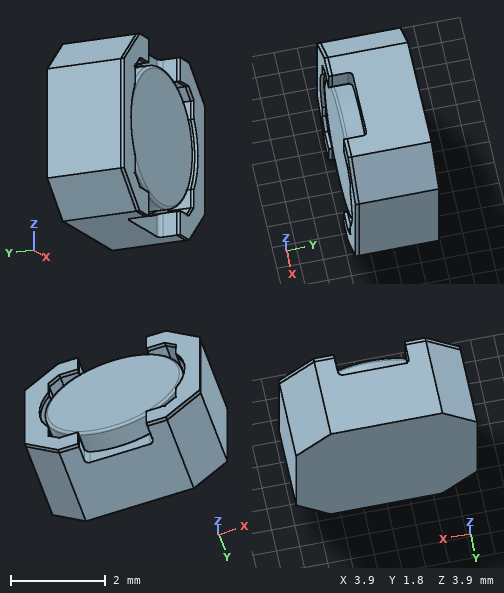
import cadquery as cq

WIDTH = 3.9
DEPTH = 1.8
CORNER_CHAMFER = 0.75

TERMINAL_THICKNESS = 0.078

BORE_RADIUS = 1.62
POCKET_SQUARE = 2.847
POCKET_CHAMFER = 0.25
POCKET_DEPTH = 0.6

CHANNEL_WIDTH = 1.52
CHANNEL_DEPTH = 0.505
CHANNEL_FILLET = 0.095

DRUM_RADIUS = 1.53
DRUM_SETBACK = 0.07
DRUM_EDGE_FILLET = 0.06
DRUM_BASE_FLARE = 0.045

FRONT = -DEPTH / 2
HOUSING_FRONT = FRONT + TERMINAL_THICKNESS
DRUM_FRONT = FRONT + DRUM_SETBACK
CHANNEL_FLOOR = FRONT + CHANNEL_DEPTH
POCKET_FLOOR = FRONT + POCKET_DEPTH
BACK = DEPTH / 2


def sketch_at(y):
    """XZ workplane at the given Y, with its normal toward -Y."""
    return cq.Workplane("XZ", origin=(0, y, 0))


def cut_corner_square(side, chamfer, front, back):
    """Square prism along Y with its four corners cut at 45 degrees."""
    return sketch_at(back).rect(side, side).extrude(back - front).edges("|Y").chamfer(chamfer)


def make_pocket():
    """Space removed for the drum, from the front down to the pocket floor."""
    bore = sketch_at(POCKET_FLOOR).circle(BORE_RADIUS).extrude(POCKET_DEPTH)
    return bore.union(cut_corner_square(POCKET_SQUARE, POCKET_CHAMFER, FRONT, POCKET_FLOOR))


def make_channel():
    """Space removed along Z across the front, with rounded floor edges."""
    channel = sketch_at(CHANNEL_FLOOR).rect(CHANNEL_WIDTH, WIDTH).extrude(CHANNEL_DEPTH)
    return channel.faces(">Y").edges("|Z").fillet(CHANNEL_FILLET)


def make_housing():
    """Octagonal block with the drum pocket and the channel."""
    block = cut_corner_square(WIDTH, CORNER_CHAMFER, HOUSING_FRONT, BACK)
    return block.cut(make_pocket()).cut(make_channel()).solids()


def make_terminal(side):
    """Thin plate on the housing front; side is -1 for the -X plate and +1 for the +X plate."""
    layer = cut_corner_square(WIDTH, CORNER_CHAMFER, FRONT, HOUSING_FRONT)
    half_space = (
        sketch_at(HOUSING_FRONT)
        .center(side * WIDTH / 4, 0)
        .rect(WIDTH / 2, WIDTH)
        .extrude(TERMINAL_THICKNESS)
    )
    return layer.intersect(half_space).cut(make_pocket()).cut(make_channel()).solids()


def make_drum():
    """Disc standing on the pocket floor, with a rounded front edge and a concave flare at its base."""
    flare_radius = DRUM_RADIUS + DRUM_BASE_FLARE
    flare_top = POCKET_FLOOR - DRUM_BASE_FLARE
    face_radius = DRUM_RADIUS - DRUM_EDGE_FILLET
    edge_start = DRUM_FRONT + DRUM_EDGE_FILLET
    diagonal = 0.5 ** 0.5
    flare_middle = (
        flare_top + DRUM_BASE_FLARE * diagonal,
        flare_radius - DRUM_BASE_FLARE * diagonal,
    )
    edge_middle = (
        edge_start - DRUM_EDGE_FILLET * diagonal,
        face_radius + DRUM_EDGE_FILLET * diagonal,
    )
    half_section = (
        cq.Workplane("YZ")
        .moveTo(POCKET_FLOOR, 0)
        .lineTo(POCKET_FLOOR, flare_radius)
        .threePointArc(flare_middle, (flare_top, DRUM_RADIUS))
        .lineTo(edge_start, DRUM_RADIUS)
        .threePointArc(edge_middle, (DRUM_FRONT, face_radius))
        .lineTo(DRUM_FRONT, 0)
        .close()
    )
    return half_section.revolve(360, (0, 0, 0), (1, 0, 0))


housing = make_housing()
drum = make_drum()
terminals = [make_terminal(side) for side in (-1, 1)]

result = cq.Compound.makeCompound(
    [housing.val(), drum.val(), *[terminal.val() for terminal in terminals]]
)